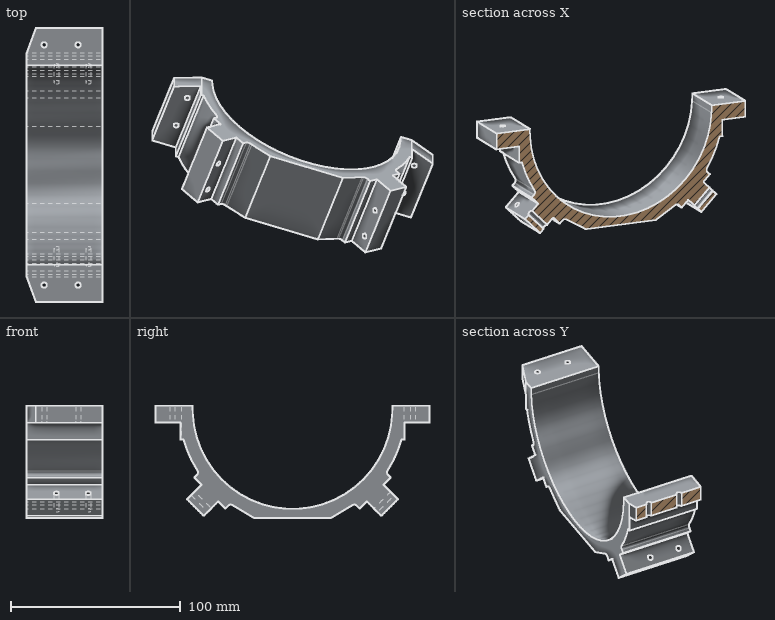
import cadquery as cq
import math

length = 45.0
half_span = 161.59 / 2
height = 66.25

ring_drop = 2.0
inner_radius = 58.75
wall = 8.0
outer_radius = inner_radius + wall
bore_arc_start = 4.5
foot_slope = 31.0

ear_thickness = 10.0
ear_backing_depth = 20.0
ear_backing_face = 66.0
ear_corner_x = 5.6
ear_corner_y = 15.3
ear_hole_inset = 10.0
ear_hole_places = (10.5, 30.5)

lug_angle = 45.0
lug_shift = 0.5
lug_foot_radius = 69.5
lug_height = 12.0
lug_tip_radius = lug_foot_radius + lug_height
lug_foot_width = 26.0
lug_width = 14.0
lug_fillet = 2.0
lug_hole_radius = 76.6
lug_hole_places = (17.75, 36.5)

hole_diameter = 3.0
sides = (-1, 1)


def block(y_start, y_end, z_start, z_end):
    """Box over the full length of the part, given by its Y and Z limits."""
    box = cq.Workplane("XY").box(length, y_end - y_start, z_end - z_start, centered=False)
    return box.translate((0, y_start, z_start))


def place_on_ring(shape, side):
    """Turn a shape built along +Y from the ring axis to its place on one side of the ring."""
    placed = shape.translate((0, 0, -lug_shift)).rotate((0, 0, 0), (1, 0, 0), -lug_angle)
    placed = placed.translate((0, 0, -ring_drop))
    if side < 0:
        placed = placed.mirror("XZ")
    return placed


def make_ring():
    """Outer body of the ring, before boring, with sloped flanks and a flat bottom."""
    slope = math.radians(foot_slope)
    touch_y = outer_radius * math.sin(slope)
    touch_z = -ring_drop - outer_radius * math.cos(slope)
    foot_half_width = touch_y - (touch_z + height) / math.tan(slope)
    outline = (
        cq.Workplane("YZ")
        .moveTo(-outer_radius, 0)
        .lineTo(-outer_radius, -ring_drop)
        .radiusArc((-touch_y, touch_z), -outer_radius)
        .lineTo(-foot_half_width, -height)
        .lineTo(foot_half_width, -height)
        .lineTo(touch_y, touch_z)
        .radiusArc((outer_radius, -ring_drop), -outer_radius)
        .lineTo(outer_radius, 0)
        .close()
    )
    envelope = block(-ear_backing_face, ear_backing_face, -height, 0)
    backing = block(-ear_backing_face, ear_backing_face, -ear_backing_depth, 0)
    return outline.extrude(length).intersect(envelope).union(backing)


def make_lug_foot():
    """Wide base of a lug, built along +Y from the ring axis."""
    return block(inner_radius, lug_foot_radius, -lug_foot_width / 2, lug_foot_width / 2)


def make_lug():
    """Narrow lug with cross holes, built along +Y from the ring axis."""
    lug = block(inner_radius, lug_tip_radius, -lug_width / 2, lug_width / 2)
    centers = [(x, lug_hole_radius) for x in lug_hole_places]
    holes = (
        cq.Workplane("XY", origin=(0, 0, -lug_width / 2))
        .pushPoints(centers)
        .circle(hole_diameter / 2)
        .extrude(lug_width)
    )
    return lug.cut(holes)


def fillet_lug_feet(body):
    """Round the inner corners where the flanks of the lug feet meet the ring."""
    half_width = lug_foot_width / 2
    meeting_radius = math.sqrt(outer_radius**2 - half_width**2)
    for side in sides:
        for flank in sides:
            corner = cq.Workplane("XY").box(length, 1, 1).translate(
                (length / 2, meeting_radius, flank * half_width)
            )
            center = place_on_ring(corner, side).val().Center()
            edge = cq.selectors.NearestToPointSelector(center.toTuple())
            body = body.edges("|X").edges(edge).fillet(lug_fillet)
    return body


def bore_ring(body):
    """Cut the round bore, which runs out to the top faces along tangent planes."""
    tangent_drop = bore_arc_start - ring_drop
    arc_y = math.sqrt(inner_radius**2 - tangent_drop**2)
    mouth_y = arc_y + bore_arc_start * tangent_drop / arc_y
    bore = (
        cq.Workplane("YZ")
        .moveTo(-mouth_y, 0)
        .lineTo(-arc_y, -bore_arc_start)
        .threePointArc((0, -ring_drop - inner_radius), (arc_y, -bore_arc_start))
        .lineTo(mouth_y, 0)
        .close()
        .extrude(length)
    )
    return body.cut(bore)


def add_ears(body):
    for side in sides:
        outer_y = side * half_span
        inner_y = side * (inner_radius + wall / 2)
        ear = block(min(inner_y, outer_y), max(inner_y, outer_y), -ear_thickness, 0)
        corner = (
            cq.Workplane("XY")
            .polyline([(0, outer_y), (ear_corner_x, outer_y), (0, outer_y - side * ear_corner_y)])
            .close()
            .extrude(-ear_backing_depth)
        )
        holes = (
            cq.Workplane("XY")
            .pushPoints([(x, outer_y - side * ear_hole_inset) for x in ear_hole_places])
            .circle(hole_diameter / 2)
            .extrude(-ear_thickness)
        )
        body = body.union(ear).cut(corner).cut(holes)
    return body


body = make_ring()
for side in sides:
    body = body.union(place_on_ring(make_lug_foot(), side))
body = fillet_lug_feet(body)
for side in sides:
    body = body.union(place_on_ring(make_lug(), side))
body = bore_ring(body)
result = add_ears(body)